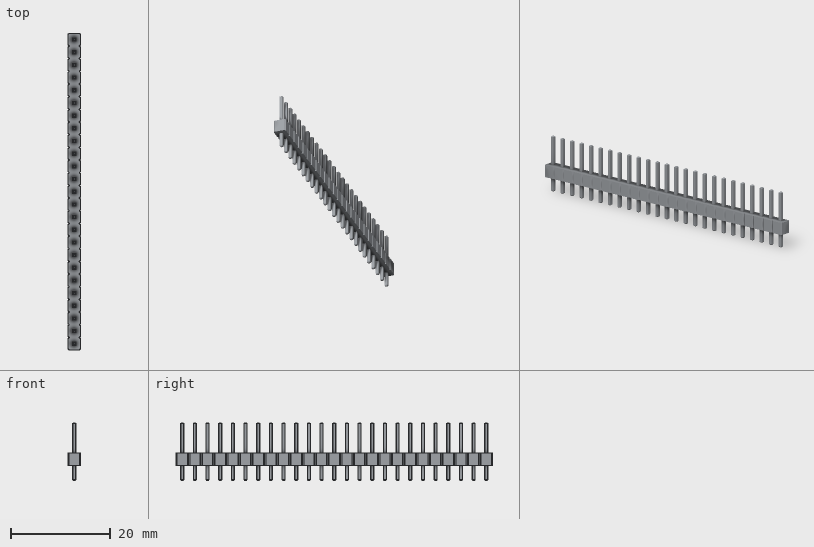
import cadquery as cq

PITCH = 2.54
PIN_COUNT = 25
PIN_WIDTH = 0.64
PIN_LENGTH = 11.54
TAIL_LENGTH = 3.0

BODY_CHAMFER = PITCH / 10
TIP_CHAMFER = PIN_WIDTH / 4


def pin_position(index):
    """Y coordinate of a pin; the first pin is at the origin, the row runs towards -Y."""
    return -index * PITCH


def make_segment(y):
    """One square housing segment with chamfered vertical edges."""
    return (
        cq.Workplane("XY")
        .center(0, y)
        .rect(PITCH, PITCH)
        .extrude(PITCH)
        .edges("|Z")
        .chamfer(BODY_CHAMFER)
    )


def make_pin(y):
    """One square pin with tapered tips, passing through the housing."""
    return (
        cq.Workplane("XY", origin=(0, y, -TAIL_LENGTH))
        .rect(PIN_WIDTH, PIN_WIDTH)
        .extrude(PIN_LENGTH)
        .faces("<Z or >Z")
        .edges()
        .chamfer(TIP_CHAMFER)
    )


result = make_segment(pin_position(0))
for i in range(1, PIN_COUNT):
    result = result.union(make_segment(pin_position(i)))
for i in range(PIN_COUNT):
    result = result.union(make_pin(pin_position(i)))
result = result.clean()